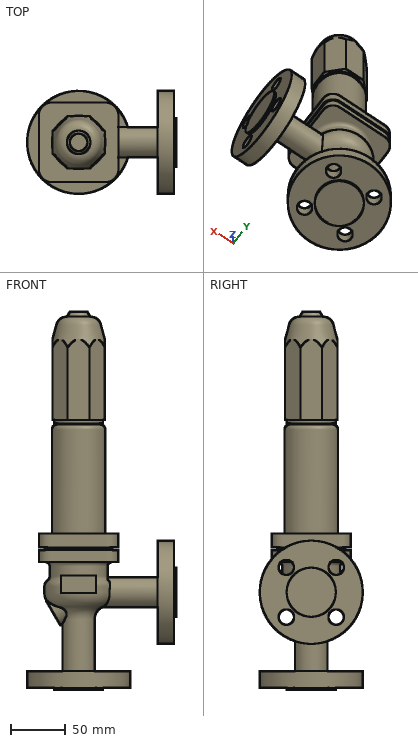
import cadquery as cq
import math

total_height = 348.2
total_length = 137.5

flange_diameter = 95.0
flange_thickness = 15.3
raised_face_radius = 22.5
raised_face_height = 2.0
bolt_circle_radius = 32.5
bolt_hole_diameter = 14.0
bolt_count = 4

outlet_reach = total_length - flange_diameter / 2
outlet_axis_z = outlet_reach

inlet_radius = 15.0
outlet_radius = 14.0
neck_flare_z = 65.8
bulb_radius = 31.7
bulb_lower_round = 14.0
bulb_upper_round = 7.3
bulb_side_bottom_z = 89.5
bulb_side_top_z = 95.0
collar_bottom_z = 104.5
collar_radius = 26.8
collar_top_z = 114.0

plate_side = 73.0
plate_corner_radius = 11.0
lower_plate_bottom_z = 117.7
lower_plate_top_z = 129.0
upper_plate_bottom_z = 131.3
upper_plate_top_z = 144.0
gasket_radius = 29.0
spigot_radius = 31.5
spigot_height = 1.0

bonnet_radius = 24.7
bonnet_top_z = 244.5
bonnet_round = 5.0
groove_radius = 19.5
cap_ring_radius = 22.5
cap_ring_bottom_z = 245.5

cap_bottom_z = 248.5
cap_flat_width = 48.5
cap_sides = 8
cap_cone_angle = 15.0
cap_cone_top_radius = 20.5
cap_cone_top_z = 336.5
dome_top_z = 343.5
knob_base_radius = 10.8
knob_top_radius = 8.0

pad_width = 32.0
pad_bottom_z = 89.5
pad_height = 16.0
pad_reach = 33.8

drain_radius = 13.2
drain_length = 27.0
drain_axis_z = 84.5
drain_slope = 30.0


def cylinder(radius, bottom_z, top_z):
    return cq.Workplane("XY").workplane(offset=bottom_z).circle(radius).extrude(top_z - bottom_z)


def pipe_flange():
    """Flange with its raised face on Z = 0 and its plate above."""
    plate_top_z = raised_face_height + flange_thickness
    plate = cylinder(flange_diameter / 2, raised_face_height, plate_top_z)
    holes = (
        cq.Workplane("XY")
        .polarArray(bolt_circle_radius, 180 / bolt_count, 360, bolt_count)
        .circle(bolt_hole_diameter / 2)
        .extrude(plate_top_z)
    )
    return plate.union(cylinder(raised_face_radius, 0, raised_face_height)).cut(holes)


def outlet():
    branch = pipe_flange().union(cylinder(outlet_radius, raised_face_height, outlet_reach))
    return branch.rotate((0, 0, 0), (0, 1, 0), -90).translate((outlet_reach, 0, outlet_axis_z))


def bulb_blend(pipe_radius, pipe_end_z, bulb_center, bulb_round):
    """Point where the rounded bulb meets the hollow arc that runs smoothly into a straight pipe."""
    offset = pipe_radius - bulb_center[0]
    rise = pipe_end_z - bulb_center[1]
    hollow_radius = (offset**2 + rise**2 - bulb_round**2) / (2 * (bulb_round - offset))
    share = bulb_round / (bulb_round + hollow_radius)
    return (bulb_center[0] + share * (offset + hollow_radius), bulb_center[1] + share * rise)


def body():
    """Turned body: inlet pipe flaring out, round bulb, and the collar under the square flanges."""
    lower_center = (bulb_radius - bulb_lower_round, bulb_side_bottom_z)
    upper_center = (bulb_radius - bulb_upper_round, bulb_side_top_z)
    collar_flare = lower_plate_bottom_z - collar_top_z
    flare_end = bulb_blend(inlet_radius, neck_flare_z, lower_center, bulb_lower_round)
    shoulder_end = bulb_blend(collar_radius, collar_bottom_z, upper_center, bulb_upper_round)
    profile = (
        cq.Workplane("XZ")
        .moveTo(0, raised_face_height)
        .lineTo(inlet_radius, raised_face_height)
        .lineTo(inlet_radius, neck_flare_z)
        .tangentArcPoint(flare_end, relative=False)
        .tangentArcPoint((bulb_radius, bulb_side_bottom_z), relative=False)
        .lineTo(bulb_radius, bulb_side_top_z)
        .tangentArcPoint(shoulder_end, relative=False)
        .tangentArcPoint((collar_radius, collar_bottom_z), relative=False)
        .lineTo(collar_radius, collar_top_z)
        .tangentArcPoint((collar_radius + collar_flare, lower_plate_bottom_z), relative=False)
        .lineTo(0, lower_plate_bottom_z)
        .close()
    )
    return profile.revolve(360, (0, 0, 0), (0, 1, 0))


def square_plate(bottom_z, top_z):
    return (
        cq.Workplane("XY")
        .workplane(offset=bottom_z)
        .rect(plate_side, plate_side)
        .extrude(top_z - bottom_z)
        .edges("|Z")
        .fillet(plate_corner_radius)
    )


def square_flanges():
    lower = square_plate(lower_plate_bottom_z, lower_plate_top_z)
    gasket = cylinder(gasket_radius, lower_plate_top_z, upper_plate_bottom_z)
    spigot = cylinder(spigot_radius, lower_plate_top_z, lower_plate_top_z + spigot_height)
    return lower.union(spigot).union(gasket).union(square_plate(upper_plate_bottom_z, upper_plate_top_z))


def bonnet():
    tube = cylinder(bonnet_radius, upper_plate_top_z, bonnet_top_z).faces(">Z").edges().fillet(bonnet_round)
    groove = cylinder(groove_radius, bonnet_top_z, cap_ring_bottom_z)
    return tube.union(groove).union(cylinder(cap_ring_radius, cap_ring_bottom_z, cap_bottom_z))


def cap():
    """Octagonal prism trimmed by a cone, with a domed top and a small knob."""
    corner_radius = cap_flat_width / 2 / math.cos(math.pi / cap_sides)
    prism = (
        cq.Workplane("XY")
        .workplane(offset=cap_bottom_z)
        .polygon(cap_sides, 2 * corner_radius)
        .extrude(total_height - cap_bottom_z)
        .rotate((0, 0, 0), (0, 0, 1), 180 / cap_sides)
    )
    cone_drop = cap_cone_top_z - cap_bottom_z
    cone_bottom_radius = cap_cone_top_radius + cone_drop * math.tan(math.radians(cap_cone_angle))
    envelope = (
        cq.Workplane("XZ")
        .moveTo(0, cap_bottom_z)
        .lineTo(cone_bottom_radius, cap_bottom_z)
        .lineTo(cap_cone_top_radius, cap_cone_top_z)
        .tangentArcPoint((knob_base_radius, dome_top_z), relative=False)
        .lineTo(knob_top_radius, total_height)
        .lineTo(0, total_height)
        .close()
        .revolve(360, (0, 0, 0), (0, 1, 0))
    )
    return prism.intersect(envelope)


def name_pad():
    pad = cq.Workplane("XY").box(pad_width, pad_reach, pad_height, centered=(True, False, False))
    return pad.translate((0, -pad_reach, pad_bottom_z))


def drain_boss():
    slope = math.radians(drain_slope)
    start = cq.Vector(0, 0, drain_axis_z)
    direction = cq.Vector(-math.cos(slope), 0, -math.sin(slope))
    return cq.Workplane(cq.Solid.makeCylinder(drain_radius, drain_length, start, direction))


result = (
    body()
    .union(pipe_flange())
    .union(outlet())
    .union(square_flanges())
    .union(bonnet())
    .union(cap())
    .union(name_pad())
    .union(drain_boss())
)